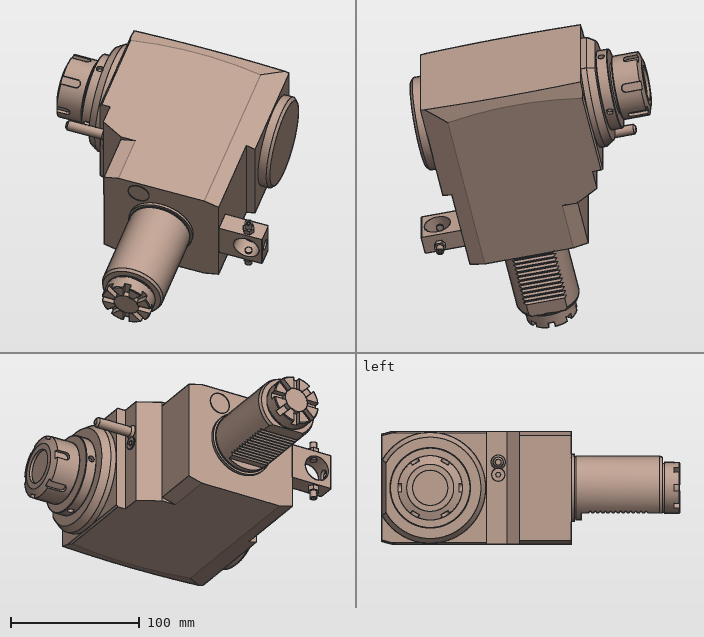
import cadquery as cq
import math


height = 88.0
half_height = height / 2
waist_half_width = 47.0
head_left = -73.0
head_right = 54.3
head_front = 66.1
shoulder_left = -65.0
shoulder_front = 50.0
waist_front = 40.1
housing_back = 147.5
bevel_angle = 15.0
bevel_start = 35.3
head_edge_chamfer = 1.5
back_bevel_radius = 301.5
back_bevel_crest = 139.5
back_bevel_centre_x = -18.3
plug_x = -18.8
plug_z = 32.0
plug_radius = 8.5
plug_recess = 0.5

spindle_y = 109.7
flange_radius = 43.2
flange_face_radius = 39.5
flange_rim_x = -77.7
flange_face_x = -83.8
flange_flat_y = 147.0
flange_flat_face_y = 144.0
ring_radius = 31.3
ring_chamfer = 0.5
ring_face_x = -92.8
ring_hole_radius = 2.5
ring_hole_depth = 3.5
ring_hole_count = 4
neck_radius = 20.2
nut_back_x = -94.7
nut_front_x = -117.5
nut_radius = 25.0
nut_face_radius = 18.3
nut_taper = 2.3
nut_back_chamfer = 0.7
nut_bore_radius = 13.7
nut_bore_depth = 2.3
nut_slot_count = 6
nut_slot_width = 6.5
nut_slot_depth = 2.8
nut_slot_end_x = -100.2
nut_short_slot_end_x = -104.5
cap_radius = 36.7
cap_end_x = 63.3
cap_chamfer = 2.3

pin_y = 56.8
pin_z = 20.0
pin_radius = 4.0
pin_tip_x = -97.5
pin_tip_chamfer = 1.6
pin_collar_radius = 5.5
pin_collar_length = 2.3
screw_z = 10.2
screw_radius = 5.0
screw_protrusion = 1.0
screw_socket_size = 4.2
screw_socket_depth = 2.3

collar_radius = 26.2
collar_length = 2.3
groove_radius = 24.4
groove_end = 3.5
shank_diameter = 49.9
shank_radius = shank_diameter / 2
shank_length = 71.0
shank_chamfer = 1.2
shank_chamfer_length = 2.5
flat_z = -19.7
flat_start = 8.0
tooth_pitch = 4.0
tooth_count = 12
tooth_depth = 1.6
tooth_land = 1.0
tooth_start = 13.2
drive_neck_radius = 19.0
drive_start = 72.5
drive_radius = 20.0
drive_end = 84.5
drive_chamfer = 0.7
drive_slot_count = 8
drive_slot_width = 5.0
drive_slot_depth = 4.6
hub_radius = 10.0
hub_recess = 0.5

bracket_end_x = 82.5
bracket_front = 0.7
bracket_back = 15.8
bracket_half_height = 14.5
bracket_edge_chamfer = 0.7
bracket_bore_x = 69.5
bracket_bore_radius = 10.5
end_hole_y = 8.1
end_hole_radius = 4.2
stud_y = 6.0
stud_radius = 2.8
stud_inner_z = 9.0
stud_outer_z = 24.4
stud_socket_size = 3.2
stud_socket_depth = 1.9
lock_nut_height = 4.0
lock_nut_across_corners = 9.0


def x_cylinder(radius, start_x, end_x, y, z):
    return cq.Workplane("YZ", origin=(start_x, y, z)).circle(radius).extrude(end_x - start_x)


def revolve_about_x(points, y, z):
    """Revolve (x, radius) points about the line parallel to X through y, z."""
    profile = cq.Workplane("XY", origin=(0, y, z)).polyline(points).close()
    return profile.revolve(360, (0, 0, 0), (1, 0, 0))


def side_bevel_wedge(side, start_y, end_y):
    """Material outside the sloping top face on one side (+1 or -1) of the housing."""
    reach = 2 * waist_half_width
    drop = (reach - bevel_start) * math.tan(math.radians(bevel_angle))
    points = [
        (side * bevel_start, half_height),
        (side * reach, half_height),
        (side * reach, half_height - drop),
    ]
    return cq.Workplane("XZ", origin=(0, start_y, 0)).polyline(points).close().extrude(start_y - end_y)


def back_bevel_envelope():
    """Double cone about a vertical axis that slopes the back of the top and bottom faces."""
    equator_radius = back_bevel_radius + half_height / math.tan(math.radians(bevel_angle))
    points = [
        (0, -half_height),
        (back_bevel_radius, -half_height),
        (equator_radius, 0),
        (back_bevel_radius, half_height),
        (0, half_height),
    ]
    centre = (back_bevel_centre_x, back_bevel_crest - back_bevel_radius, 0)
    return cq.Workplane("XZ", origin=centre).polyline(points).close().revolve(360, (0, 0, 0), (0, 1, 0))


def make_housing():
    outline = [
        (-waist_half_width, 0),
        (waist_half_width, 0),
        (waist_half_width, head_front),
        (head_right, head_front),
        (head_right, housing_back),
        (head_left, housing_back),
        (head_left, head_front),
        (shoulder_left, head_front),
        (shoulder_left, shoulder_front),
        (-waist_half_width, waist_front),
    ]
    base = cq.Workplane("XY").workplane(offset=-half_height)
    housing = base.polyline(outline).close().extrude(2 * half_height)
    housing = housing.faces("<X").edges("|Y").chamfer(head_edge_chamfer)
    housing = housing.intersect(back_bevel_envelope())
    for wedge in (side_bevel_wedge(1, 0, housing_back), side_bevel_wedge(-1, 0, waist_front)):
        housing = housing.cut(wedge).cut(wedge.mirror("XY"))
    plug = cq.Workplane("XZ", origin=(plug_x, 0, plug_z)).circle(plug_radius).extrude(-plug_recess)
    return housing.cut(plug)


def make_flange():
    flange = revolve_about_x(
        [
            (head_left, 0),
            (head_left, flange_radius),
            (flange_rim_x, flange_radius),
            (flange_face_x, flange_face_radius),
            (flange_face_x, 0),
        ],
        spindle_y,
        0,
    )
    beyond_flat = spindle_y + flange_radius
    flat_cut = [
        (head_left, flange_flat_y),
        (flange_rim_x, flange_flat_y),
        (flange_face_x, flange_flat_face_y),
        (flange_face_x, beyond_flat),
        (head_left, beyond_flat),
    ]
    flat = cq.Workplane("XY").polyline(flat_cut).close().extrude(flange_radius, both=True)
    return flange.cut(flat)


def make_ring():
    ring = x_cylinder(ring_radius, ring_face_x, flange_face_x, spindle_y, 0).edges().chamfer(ring_chamfer)
    hole_x = (ring_face_x + flange_face_x) / 2
    hole = (
        cq.Workplane("XY", origin=(hole_x, spindle_y, ring_radius - ring_hole_depth))
        .circle(ring_hole_radius)
        .extrude(2 * ring_hole_depth)
    )
    for i in range(ring_hole_count):
        angle = 360 / ring_hole_count * i
        ring = ring.cut(hole.rotate((0, spindle_y, 0), (1, spindle_y, 0), angle))
    return ring


def nut_slot(end_x):
    """Round-ended wrench slot on the +Y side of the nut."""
    half_width = nut_slot_width / 2
    slot_floor = spindle_y + nut_radius - nut_slot_depth
    return (
        cq.Workplane("XZ", origin=(0, slot_floor, 0))
        .moveTo(nut_front_x, -half_width)
        .lineTo(end_x - half_width, -half_width)
        .threePointArc((end_x, 0), (end_x - half_width, half_width))
        .lineTo(nut_front_x, half_width)
        .close()
        .extrude(-2 * nut_slot_depth)
    )


def make_collet_nut():
    nut = revolve_about_x(
        [
            (nut_back_x, 0),
            (nut_back_x, nut_radius - nut_back_chamfer),
            (nut_back_x - nut_back_chamfer, nut_radius),
            (nut_front_x + nut_taper, nut_radius),
            (nut_front_x, nut_face_radius),
            (nut_front_x, nut_bore_radius),
            (nut_front_x + nut_bore_depth, nut_bore_radius),
            (nut_front_x + nut_bore_depth, 0),
        ],
        spindle_y,
        0,
    )
    for i in range(nut_slot_count):
        angle = 360 / nut_slot_count * i
        end_x = nut_short_slot_end_x if angle % 180 == 0 else nut_slot_end_x
        nut = nut.cut(nut_slot(end_x).rotate((0, spindle_y, 0), (1, spindle_y, 0), angle))
    return nut


def make_spindle():
    neck = x_cylinder(neck_radius, nut_back_x, ring_face_x, spindle_y, 0)
    cap = x_cylinder(cap_radius, head_right, cap_end_x, spindle_y, 0).faces(">X").chamfer(cap_chamfer)
    return make_flange().union(make_ring()).union(neck).union(make_collet_nut()).union(cap)


def make_coolant_pin():
    pin = revolve_about_x(
        [
            (shoulder_left, 0),
            (shoulder_left, pin_collar_radius),
            (shoulder_left - pin_collar_length, pin_radius),
            (pin_tip_x + pin_tip_chamfer, pin_radius),
            (pin_tip_x, pin_radius - pin_tip_chamfer),
            (pin_tip_x, 0),
        ],
        pin_y,
        pin_z,
    )
    head_x = shoulder_left - screw_protrusion
    screw = x_cylinder(screw_radius, head_x, shoulder_left, pin_y, screw_z)
    return pin.union(screw)


def make_screw_socket():
    head_x = shoulder_left - screw_protrusion
    plane = cq.Workplane("YZ", origin=(head_x, pin_y, screw_z))
    return plane.polygon(6, screw_socket_size).extrude(screw_socket_depth)


def make_shank():
    profile = [
        (0, 0),
        (collar_radius, 0),
        (collar_radius, -collar_length),
        (groove_radius, -collar_length),
        (groove_radius, -groove_end),
        (shank_radius, -groove_end),
        (shank_radius, -shank_length + shank_chamfer_length),
        (shank_radius - shank_chamfer, -shank_length),
        (drive_neck_radius, -shank_length),
        (drive_neck_radius, -drive_start),
        (drive_radius, -drive_start),
        (drive_radius, -drive_end + drive_chamfer),
        (drive_radius - drive_chamfer, -drive_end),
        (hub_radius, -drive_end),
        (hub_radius, -drive_end + hub_recess),
        (0, -drive_end + hub_recess),
    ]
    return cq.Workplane("XY").polyline(profile).close().revolve(360, (0, 0, 0), (0, 1, 0))


def make_shank_flat():
    """Cutter for the flat under the shank and the V-shaped clamping grooves in it."""
    bottom_z = -collar_radius
    groove_width = tooth_pitch - tooth_land
    points = [(-flat_start, bottom_z), (-flat_start, flat_z), (-tooth_start, flat_z)]
    for i in range(tooth_count):
        y = -tooth_start - i * tooth_pitch
        points += [
            (y - groove_width / 2, flat_z + tooth_depth),
            (y - groove_width, flat_z),
            (y - tooth_pitch, flat_z),
        ]
    points += [(-shank_length, flat_z), (-shank_length, bottom_z)]
    return cq.Workplane("YZ").polyline(points).close().extrude(shank_radius, both=True)


def make_drive_slots():
    """Radial slots in the end face of the shank, running outwards from the hub."""
    floor_y = -drive_end + drive_slot_depth
    slots = cq.Workplane("XY")
    for i in range(drive_slot_count):
        slot = cq.Workplane("XY").box(
            drive_radius, drive_slot_depth, drive_slot_width, centered=(False, False, True)
        )
        slot = slot.translate((0, floor_y - drive_slot_depth, 0))
        slots = slots.add(slot.rotate((0, 0, 0), (0, 1, 0), 360 / drive_slot_count * i))
    hub = cq.Workplane("XZ", origin=(0, floor_y, 0)).circle(hub_radius).extrude(drive_slot_depth)
    return slots.combine().cut(hub)


def make_bracket():
    bracket = cq.Workplane("XY").box(
        bracket_end_x - waist_half_width,
        bracket_back - bracket_front,
        2 * bracket_half_height,
        centered=(False, False, True),
    )
    bracket = bracket.translate((waist_half_width, bracket_front, 0))
    bracket = bracket.faces(">X").edges("|Z").chamfer(bracket_edge_chamfer)
    bore = (
        cq.Workplane("XZ", origin=(bracket_bore_x, bracket_front, 0))
        .circle(bracket_bore_radius)
        .extrude(bracket_front - bracket_back)
    )
    end_hole = x_cylinder(end_hole_radius, bracket_bore_x, bracket_end_x, end_hole_y, 0)
    bracket = bracket.cut(bore).cut(end_hole)
    stud = (
        cq.Workplane("XY", origin=(bracket_bore_x, stud_y, stud_inner_z))
        .circle(stud_radius)
        .extrude(stud_outer_z - stud_inner_z)
    )
    lock_nut = (
        cq.Workplane("XY", origin=(bracket_bore_x, stud_y, bracket_half_height))
        .polygon(6, lock_nut_across_corners)
        .extrude(lock_nut_height)
    )
    socket = (
        cq.Workplane("XY", origin=(bracket_bore_x, stud_y, stud_outer_z))
        .polygon(6, stud_socket_size)
        .extrude(-stud_socket_depth)
    )
    clamp = stud.union(lock_nut).cut(socket)
    return bracket.union(clamp).union(clamp.mirror("XY"))


result = (
    make_housing()
    .union(make_spindle())
    .union(make_coolant_pin())
    .cut(make_screw_socket())
    .union(make_shank().cut(make_shank_flat()).cut(make_drive_slots()))
    .union(make_bracket())
)